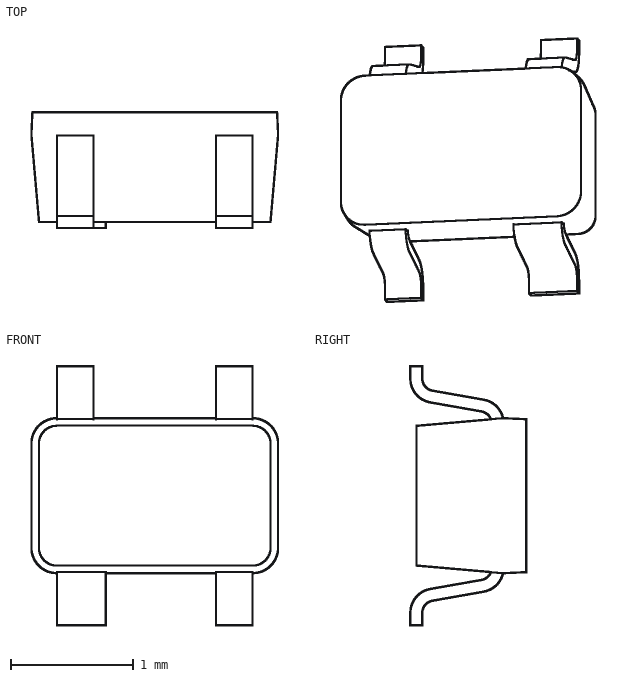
import cadquery as cq
import math

seam_width = 2.02
seam_height = 1.27
seam_corner_radius = 0.21
front_depth = 0.715
back_depth = 0.185
front_inset = 0.0625
back_inset = 0.008

lead_thickness = 0.1
bend_inner_radius = 0.1
bend_outer_radius = bend_inner_radius + lead_thickness
slope_angle = math.radians(10)
foot_tip_height = 1.06
foot_length = 0.102
foot_standoff = 0.05
narrow_lead_width = 0.3
wide_lead_width = 0.4
lead_edge_x = seam_width / 2 - seam_corner_radius
foot_face_y = -(front_depth + foot_standoff)


def point_on_arc(center, radius, angle):
    """Point in the YZ plane; the angle runs from +Y towards +Z."""
    y, z = center
    return (y + radius * math.cos(angle), z + radius * math.sin(angle))


def make_housing_half(depth, inset):
    """Loft from the parting plane to an inset end face; corner centres stay in line along Y."""
    seam = cq.Sketch().rect(seam_width, seam_height).vertices().fillet(seam_corner_radius)
    end = (
        cq.Sketch()
        .rect(seam_width - 2 * inset, seam_height - 2 * inset)
        .vertices()
        .fillet(seam_corner_radius - inset)
    )
    end_location = cq.Location(cq.Vector(0, 0, depth))
    return cq.Workplane("XZ").placeSketch(seam, end.moved(end_location)).loft(ruled=True)


def make_lead(left_x, width, side):
    """Gull-wing lead; side is +1 for the upper row and -1 for the lower row."""
    foot_center = (foot_face_y + bend_outer_radius, foot_tip_height - foot_length)

    shoulder_y = -bend_outer_radius
    slope_run = (
        shoulder_y - foot_center[0]
        + (bend_outer_radius + bend_inner_radius) * math.sin(slope_angle)
    )
    slope_drop = slope_run * math.tan(slope_angle)
    center_drop = (bend_outer_radius + bend_inner_radius) * math.cos(slope_angle) + slope_drop
    shoulder_center = (shoulder_y, foot_center[1] - center_drop)

    foot_start = math.pi
    foot_end = 1.5 * math.pi - slope_angle
    foot_middle = (foot_start + foot_end) / 2
    shoulder_start = 0.0
    shoulder_end = math.pi / 2 - slope_angle
    shoulder_middle = (shoulder_start + shoulder_end) / 2

    lead = (
        cq.Workplane("YZ", origin=(left_x, 0, 0))
        .moveTo(foot_face_y, foot_tip_height)
        .lineTo(*point_on_arc(foot_center, bend_outer_radius, foot_start))
        .threePointArc(
            point_on_arc(foot_center, bend_outer_radius, foot_middle),
            point_on_arc(foot_center, bend_outer_radius, foot_end),
        )
        .lineTo(*point_on_arc(shoulder_center, bend_inner_radius, shoulder_end))
        .threePointArc(
            point_on_arc(shoulder_center, bend_inner_radius, shoulder_middle),
            point_on_arc(shoulder_center, bend_inner_radius, shoulder_start),
        )
        .lineTo(*point_on_arc(shoulder_center, bend_outer_radius, shoulder_start))
        .threePointArc(
            point_on_arc(shoulder_center, bend_outer_radius, shoulder_middle),
            point_on_arc(shoulder_center, bend_outer_radius, shoulder_end),
        )
        .lineTo(*point_on_arc(foot_center, bend_inner_radius, foot_end))
        .threePointArc(
            point_on_arc(foot_center, bend_inner_radius, foot_middle),
            point_on_arc(foot_center, bend_inner_radius, foot_start),
        )
        .lineTo(foot_face_y + lead_thickness, foot_tip_height)
        .close()
        .extrude(width)
    )
    if side < 0:
        lead = lead.mirror("XY")
    return lead


lead_layout = [
    (-lead_edge_x, narrow_lead_width, 1),
    (lead_edge_x - narrow_lead_width, narrow_lead_width, 1),
    (-lead_edge_x, wide_lead_width, -1),
    (lead_edge_x - narrow_lead_width, narrow_lead_width, -1),
]
leads = [make_lead(left_x, width, side) for left_x, width, side in lead_layout]

front_half = make_housing_half(front_depth, front_inset)
back_half = make_housing_half(-back_depth, back_inset)
housing = front_half.union(back_half)

for lead in leads:
    housing = housing.cut(lead)

result = cq.Compound.makeCompound([housing.val(), *[lead.val() for lead in leads]])